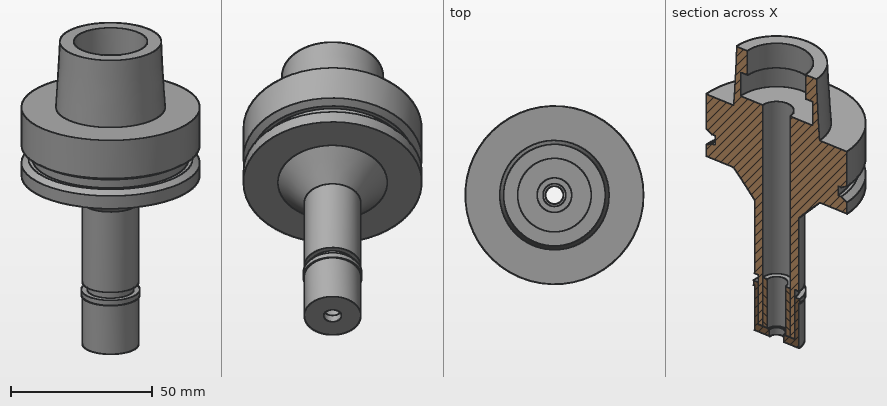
import cadquery as cq

total_height = 115.0
flange_top = 90.0
flange_bottom = 64.0
groove_upper_edge = 75.5
groove_lower_edge = 68.9
groove_chamfer_height = 1.5
cone_bottom = 54.2
shank_bottom = 23.6
nut_height = 20.7
nut_collar_height = 2.1
nut_floor_thickness = 3.0

taper_top_radius = 17.9
taper_base_radius = 19.3
flange_radius = 31.5
groove_radius = 27.6
groove_lip_radius = 29.0
cone_top_radius = 19.3
shank_radius = 10.0
neck_radius = 8.3
nut_collar_radius = 10.4

mouth_radius = 13.0
mouth_depth = 10.2
undercut_radius = 16.0
socket_depth = 19.9
collet_seat_radius = 6.1
collet_bore_radius = 4.0
nut_hole_radius = 3.1


def cylinder(radius, bottom, top):
    """Vertical cylinder about the tool axis between two heights."""
    return cq.Workplane("XY").workplane(offset=bottom).circle(radius).extrude(top - bottom)


def make_holder():
    """Hollow taper, grooved flange, shank and the neck that carries the nut."""
    profile = [
        (0, nut_floor_thickness),
        (neck_radius, nut_floor_thickness),
        (neck_radius, shank_bottom),
        (shank_radius, shank_bottom),
        (shank_radius, cone_bottom),
        (cone_top_radius, flange_bottom),
        (flange_radius, flange_bottom),
        (flange_radius, groove_lower_edge),
        (groove_lip_radius, groove_lower_edge + groove_chamfer_height),
        (groove_radius, groove_lower_edge + groove_chamfer_height),
        (groove_radius, groove_upper_edge - groove_chamfer_height),
        (groove_lip_radius, groove_upper_edge - groove_chamfer_height),
        (flange_radius, groove_upper_edge),
        (flange_radius, flange_top),
        (taper_base_radius, flange_top),
        (taper_top_radius, total_height),
        (0, total_height),
    ]
    body = cq.Workplane("XZ").polyline(profile).close().revolve(360, (0, 0), (0, 1))

    socket_floor = total_height - socket_depth
    undercut_top = total_height - mouth_depth
    mouth = cylinder(mouth_radius, undercut_top, total_height)
    undercut = cylinder(undercut_radius, socket_floor, undercut_top)
    collet_seat = cylinder(collet_seat_radius, nut_floor_thickness, socket_floor)
    return body.cut(mouth).cut(undercut).cut(collet_seat)


def make_collet():
    """Sleeve in the holder's bore, standing on the nut's floor."""
    sleeve = cylinder(collet_seat_radius, nut_floor_thickness, shank_bottom)
    bore = cylinder(collet_bore_radius, nut_floor_thickness, shank_bottom)
    return sleeve.cut(bore)


def make_nut():
    """Collared cap around the holder's neck, with a hole through its floor."""
    cap = cylinder(shank_radius, 0, nut_height)
    collar = cylinder(nut_collar_radius, nut_height - nut_collar_height, nut_height)
    neck_recess = cylinder(neck_radius, nut_floor_thickness, nut_height)
    floor_hole = cylinder(nut_hole_radius, 0, nut_floor_thickness)
    return cap.union(collar).cut(neck_recess).cut(floor_hole)


holder = make_holder()
collet = make_collet()
nut = make_nut()

result = cq.Compound.makeCompound([holder.val(), collet.val(), nut.val()])